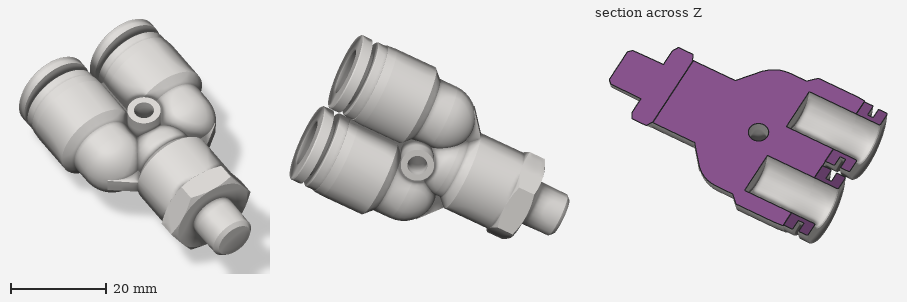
import cadquery as cq
import math

total_length = 55.2
branch_offset = 9.0
body_diameter = 17.6
waist_diameter = 13.95
shoulder_length = (body_diameter - waist_diameter) / 2

tube_bore = 9.75
bore_end = 17.0

branch_start = 5.7
draft_diameter = 17.3
draft_end = 7.7
branch_shoulder = 17.0
branch_dome = 22.8

outlet_dome = 28.5
outlet_shoulder = 30.15
outlet_end = 42.1

lug_x = 21.5
lug_diameter = 7.0
lug_hole_diameter = 4.2
web_thickness = 3.05
web_edge_x = 28.05
web_edge_y = 13.7

flange_height = 19.0
flange_width = 16.55
flange_thickness = 2.25
flange_chamfer = 0.2
neck_diameter = 11.9
ring_start = 3.55
ring_diameter = 16.9
ring_chamfer = 0.15
bore_chamfer = 0.2

hex_flats = 17.5
hex_end = 47.1
hex_chamfer_length = 0.7
thread_diameter = 9.8
thread_tip_diameter = 9.55
thread_end_diameter = 7.9
thread_chamfer_length = 0.85


def rod(diameter, x_start, x_end):
    """Cylinder along X, centred on the X axis."""
    return cq.Workplane("YZ", origin=(x_start, 0, 0)).circle(diameter / 2).extrude(x_end - x_start)


def tube_branch():
    """Stepped tube branch ending in a hemispherical dome, on the X axis."""
    waist_radius = waist_diameter / 2
    dome_arc = waist_radius * math.sqrt(0.5)
    profile = (
        cq.Workplane("XY")
        .moveTo(branch_start, 0)
        .lineTo(branch_start, draft_diameter / 2)
        .lineTo(draft_end, body_diameter / 2)
        .lineTo(branch_shoulder, body_diameter / 2)
        .lineTo(branch_shoulder + shoulder_length, waist_radius)
        .lineTo(branch_dome, waist_radius)
        .threePointArc((branch_dome + dome_arc, dome_arc), (branch_dome + waist_radius, 0))
        .close()
    )
    return profile.revolve(360, (0, 0, 0), (1, 0, 0))


def outlet_branch():
    """Outlet branch on the X axis, with its dome facing the tube branches."""
    waist_radius = waist_diameter / 2
    dome_arc = waist_radius * math.sqrt(0.5)
    profile = (
        cq.Workplane("XY")
        .moveTo(outlet_dome - waist_radius, 0)
        .threePointArc((outlet_dome - dome_arc, dome_arc), (outlet_dome, waist_radius))
        .lineTo(outlet_shoulder, waist_radius)
        .lineTo(outlet_shoulder + shoulder_length, body_diameter / 2)
        .lineTo(outlet_end, body_diameter / 2)
        .lineTo(outlet_end, 0)
        .close()
    )
    return profile.revolve(360, (0, 0, 0), (1, 0, 0))


def web_plate():
    """Flat plate that ties the three branches together in the middle plane."""
    web_end = outlet_shoulder + shoulder_length
    outline = [
        (branch_start, -branch_offset),
        (branch_dome, -branch_offset),
        (web_edge_x, -web_edge_y),
        (web_end, -body_diameter / 2),
        (web_end, body_diameter / 2),
        (web_edge_x, web_edge_y),
        (branch_dome, branch_offset),
        (branch_start, branch_offset),
    ]
    return cq.Workplane("XY").polyline(outline).close().extrude(web_thickness / 2, both=True)


def lug_cylinder(diameter):
    """Vertical cylinder at the lug, as tall as the housing."""
    lug_plane = cq.Workplane("XY", origin=(lug_x, 0, 0))
    return lug_plane.circle(diameter / 2).extrude(body_diameter / 2, both=True)


def make_housing():
    """Y-shaped housing with blind tube bores and a drilled lug."""
    housing = outlet_branch().union(web_plate()).union(lug_cylinder(lug_diameter))
    for side in (-1, 1):
        housing = housing.union(tube_branch().translate((0, side * branch_offset, 0)))
    for side in (-1, 1):
        bore = rod(tube_bore, branch_start, bore_end)
        housing = housing.cut(bore.translate((0, side * branch_offset, 0)))
    return housing.cut(lug_cylinder(lug_hole_diameter))


def make_release_sleeve(side):
    """Release sleeve with an elliptical flange, a neck and a round ring, on the branch at the given side."""
    flange = (
        cq.Workplane("YZ")
        .ellipse(flange_width / 2, flange_height / 2)
        .extrude(flange_thickness)
        .faces("<X")
        .chamfer(flange_chamfer)
    )
    neck = rod(neck_diameter, flange_thickness, ring_start)
    ring = rod(ring_diameter, ring_start, branch_start).faces("<X").chamfer(ring_chamfer)
    sleeve = flange.union(neck).union(ring)
    sleeve = sleeve.cut(rod(tube_bore, 0, branch_start))
    bore_edge = cq.selectors.RadiusNthSelector(0)
    sleeve = sleeve.faces("<X").edges("%CIRCLE").edges(bore_edge).chamfer(bore_chamfer)
    return sleeve.translate((0, side * branch_offset, 0))


def hexagon():
    """Hexagon with flats facing up and down and its corners chamfered at both ends."""
    corner_radius = hex_flats / math.sqrt(3)
    face_radius = hex_flats / 2
    prism = (
        cq.Workplane("YZ", origin=(outlet_end, 0, 0))
        .polygon(6, 2 * corner_radius)
        .extrude(hex_end - outlet_end)
    )
    envelope = (
        cq.Workplane("XY")
        .moveTo(outlet_end, 0)
        .lineTo(outlet_end, face_radius)
        .lineTo(outlet_end + hex_chamfer_length, corner_radius)
        .lineTo(hex_end - hex_chamfer_length, corner_radius)
        .lineTo(hex_end, face_radius)
        .lineTo(hex_end, 0)
        .close()
        .revolve(360, (0, 0, 0), (1, 0, 0))
    )
    return prism.intersect(envelope)


def make_stud():
    """Hexagon with a slightly tapered thread that ends in a chamfer."""
    thread = (
        cq.Workplane("XY")
        .moveTo(hex_end, 0)
        .lineTo(hex_end, thread_diameter / 2)
        .lineTo(total_length - thread_chamfer_length, thread_tip_diameter / 2)
        .lineTo(total_length, thread_end_diameter / 2)
        .lineTo(total_length, 0)
        .close()
        .revolve(360, (0, 0, 0), (1, 0, 0))
    )
    return hexagon().union(thread)


housing = make_housing()
release_sleeves = [make_release_sleeve(side) for side in (-1, 1)]
stud = make_stud()

result = cq.Compound.makeCompound(
    [housing.val(), *[sleeve.val() for sleeve in release_sleeves], stud.val()]
)